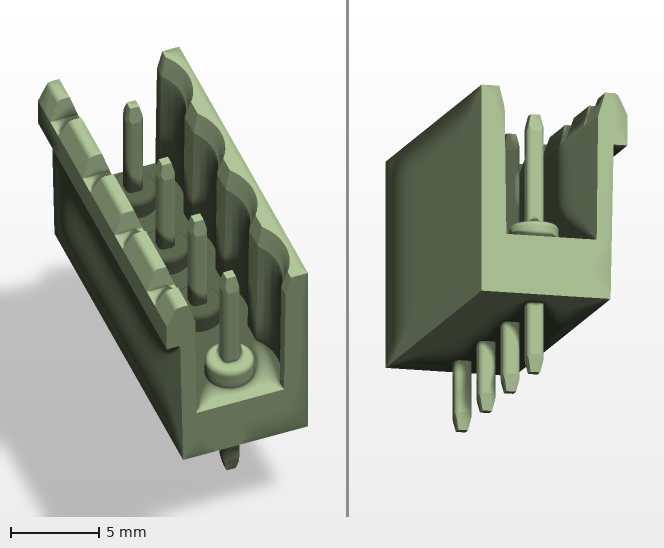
import cadquery as cq

pin_count = 4
pitch = 5.0
length = pin_count * pitch
pin_places = [(index - (pin_count - 1) / 2) * pitch for index in range(pin_count)]

rear_y = 3.8
depth = 8.6
lip_y = rear_y - depth
body_height = 12.0
floor_z = 3.4
bevel_z = 10.75
inner_bevel_z = 10.6
lip_bottom_z = 9.0

rear_top = 1.05
rear_bevel = 1.35
rear_floor = 1.45

front_inner_floor_y = -2.98
front_inner_bevel_y = -3.05
front_inner_top_y = -3.5
front_outer_top_y = -4.2
front_under_lip_y = -3.98
front_bottom_y = -3.8
lip_round = 0.35

scallop_floor = (floor_z, -0.2, 3.15)
scallop_bevel = (bevel_z, -0.2, 3.2)
scallop_top = (body_height, 0.08, 3.35)

notch_bottom_width = 1.2
notch_top_width = 1.8

pin_width = 1.0
pin_edge_round = 0.3
pin_tip_width = 0.55
pin_taper = 1.0
pin_bottom_z = -4.0
pin_top_z = 11.0
collar_diameter = 2.82
collar_draft = 1.0
collar_height = 1.2
collar_round = 0.32


def make_housing():
    """U-shaped channel with an outward lip on the front wall."""
    profile = [
        (rear_y, 0),
        (rear_y, body_height),
        (rear_y - rear_top, body_height),
        (rear_y - rear_bevel, bevel_z),
        (rear_y - rear_floor, floor_z),
        (front_inner_floor_y, floor_z),
        (front_inner_bevel_y, inner_bevel_z),
        (front_inner_top_y, body_height),
        (front_outer_top_y, body_height),
        (lip_y, bevel_z),
        (lip_y, lip_bottom_z),
        (front_under_lip_y, lip_bottom_z),
        (front_bottom_y, 0),
    ]
    housing = cq.Workplane("YZ").polyline(profile).close().extrude(length / 2, both=True)
    lip_edge = cq.selectors.NearestToPointSelector((0, front_outer_top_y, body_height))
    return housing.edges(lip_edge).fillet(lip_round)


def make_scallop_section(x, lower, upper):
    """Round tapering cutter between two levels."""
    lower_z, lower_y, lower_radius = lower
    upper_z, upper_y, upper_radius = upper
    return (
        cq.Workplane("XY", origin=(x, 0, lower_z))
        .center(0, lower_y)
        .circle(lower_radius)
        .workplane(offset=upper_z - lower_z)
        .center(0, upper_y - lower_y)
        .circle(upper_radius)
        .loft()
    )


def make_scallop(x):
    """Hollow in the rear wall behind one pin, kept clear of the front wall."""
    cutter = make_scallop_section(x, scallop_floor, scallop_bevel)
    cutter = cutter.union(make_scallop_section(x, scallop_bevel, scallop_top))
    rear_half = cq.Workplane("XY").box(pitch, rear_y, body_height, centered=(True, False, False))
    return cutter.intersect(rear_half.translate((x, 0, 0)))


def make_notch(x):
    """Trapezoidal gap through the top of the front wall."""
    profile = [
        (-notch_bottom_width / 2, bevel_z),
        (notch_bottom_width / 2, bevel_z),
        (notch_top_width / 2, body_height),
        (-notch_top_width / 2, body_height),
    ]
    notch = cq.Workplane("XZ").polyline(profile).close().extrude(-lip_y)
    return notch.translate((x, 0, 0))


def make_taper(base_z, tip_z):
    """Square frustum narrowing from the pin width to the tip width."""
    return (
        cq.Workplane("XY", origin=(0, 0, base_z))
        .rect(pin_width, pin_width)
        .workplane(offset=tip_z - base_z)
        .rect(pin_tip_width, pin_tip_width)
        .loft()
    )


def make_pin(x):
    """Square pin with rounded long edges and pyramid-shaped ends."""
    shaft_bottom = pin_bottom_z + pin_taper
    shaft_top = pin_top_z - pin_taper
    envelope = cq.Workplane("XY", origin=(0, 0, shaft_bottom)).rect(pin_width, pin_width)
    envelope = envelope.extrude(shaft_top - shaft_bottom)
    envelope = envelope.union(make_taper(shaft_bottom, pin_bottom_z))
    envelope = envelope.union(make_taper(shaft_top, pin_top_z))
    bar = cq.Workplane("XY", origin=(0, 0, pin_bottom_z)).rect(pin_width, pin_width)
    bar = bar.extrude(pin_top_z - pin_bottom_z).edges("|Z").fillet(pin_edge_round)
    return bar.intersect(envelope).translate((x, 0, 0))


def make_collar(x):
    """Round collar at the foot of one pin."""
    collar = cq.Workplane("XY", origin=(x, 0, floor_z)).circle(collar_diameter / 2)
    return collar.extrude(collar_height, taper=collar_draft).faces(">Z").edges().fillet(collar_round)


result = make_housing()
for pin_x in pin_places:
    result = result.cut(make_scallop(pin_x)).cut(make_notch(pin_x))
for pin_x in pin_places:
    result = result.union(make_collar(pin_x)).union(make_pin(pin_x))